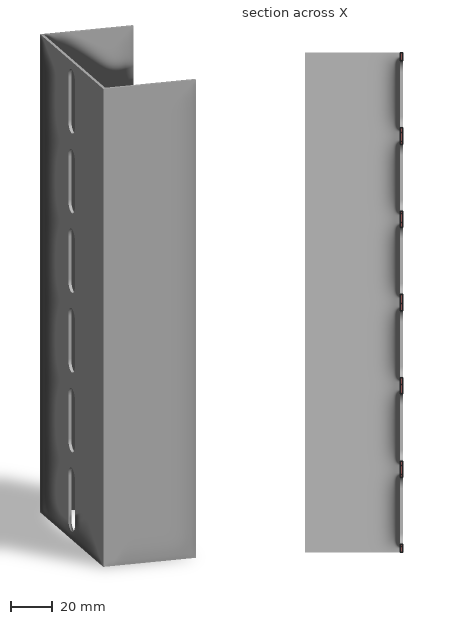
import cadquery as cq

outer_width = 94.92
outer_depth = 46.96
sheet_thickness = 1.48
inner_width = outer_width - 2 * sheet_thickness
inner_depth = outer_depth - sheet_thickness

slot_count = 6
slot_pitch = 40.0
slot_width = 10.0
slot_length = 32.0
channel_length = slot_count * slot_pitch


def make_channel():
    """U-shaped channel along Z with its web on the -Y side, open toward +Y."""
    outer_block = cq.Workplane("XY").rect(outer_width, outer_depth).extrude(channel_length)
    inner_block = (
        cq.Workplane("XY")
        .center(0, sheet_thickness / 2)
        .rect(inner_width, inner_depth)
        .extrude(channel_length)
    )
    return outer_block.cut(inner_block)


def make_slot_cutters():
    """Upright round-ended slots, one in the middle of each pitch, as thick as the web."""
    slot_centers = [(0, (index + 0.5) * slot_pitch) for index in range(slot_count)]
    web_inner_y = -outer_depth / 2 + sheet_thickness
    return (
        cq.Workplane("XZ", origin=(0, web_inner_y, 0))
        .pushPoints(slot_centers)
        .slot2D(slot_length, slot_width, angle=90)
        .extrude(sheet_thickness)
    )


result = make_channel().cut(make_slot_cutters())